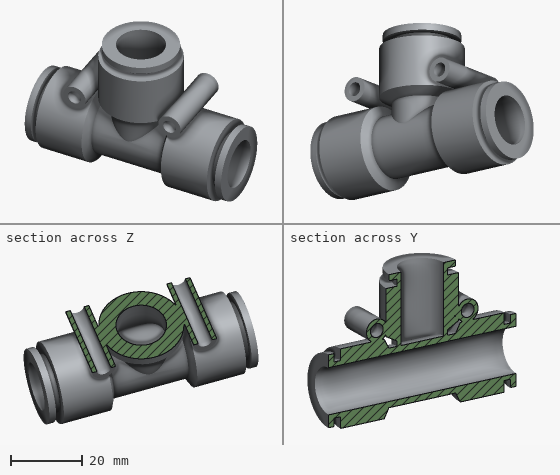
import cadquery as cq

length = 62.0
reach = length / 2
bore_radius = 14.0 / 2

collar_radius = 22.0 / 2
collar_thickness = 2.0
neck_radius = 17.0 / 2
neck_length = 2.0
body_radius = 24.0 / 2
body_length = 14.5
taper_length = 1.55
branch_taper_length = 2.0

run_pipe_radius = 18.0 / 2
branch_pipe_radius = neck_radius

eyelet_offset_x = 15.0
eyelet_height = 15.0
eyelet_radius = 7.0 / 2
eyelet_hole_radius = 4.0 / 2
eyelet_length = 23.0


def make_arm(pipe_radius, taper):
    """Solid pipe and socket, revolved about Z from the origin up to the open end."""
    collar_start = reach - collar_thickness
    body_end = collar_start - neck_length
    body_start = body_end - body_length
    return (
        cq.Workplane("XZ")
        .polyline([
            (0, 0),
            (pipe_radius, 0),
            (pipe_radius, body_start - taper),
            (body_radius, body_start),
            (body_radius, body_end),
            (neck_radius, body_end),
            (neck_radius, collar_start),
            (collar_radius, collar_start),
            (collar_radius, reach),
            (0, reach),
        ])
        .close()
        .revolve(360, (0, 0), (0, 1))
    )


def make_y_cylinder(x, radius):
    """Cylinder along Y at eyelet height, centred on the XZ plane."""
    return (
        cq.Workplane("XZ", origin=(x, eyelet_length / 2, eyelet_height))
        .circle(radius)
        .extrude(eyelet_length)
    )


branch_bore = cq.Workplane("XY").circle(bore_radius).extrude(reach)
result = make_arm(branch_pipe_radius, branch_taper_length).cut(branch_bore)

run_arm = make_arm(run_pipe_radius, taper_length)
for angle in (-90, 90):
    result = result.union(run_arm.rotate((0, 0, 0), (0, 1, 0), angle))

for x in (-eyelet_offset_x, eyelet_offset_x):
    result = result.union(make_y_cylinder(x, eyelet_radius))
    result = result.cut(make_y_cylinder(x, eyelet_hole_radius))

run_bore = cq.Workplane("YZ", origin=(-reach, 0, 0)).circle(bore_radius).extrude(length)
result = result.cut(run_bore)